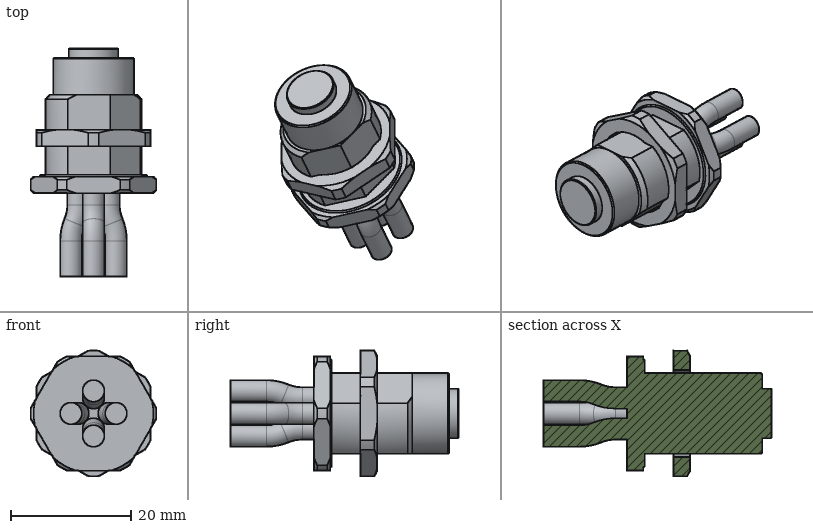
import cadquery as cq
import math


flange_thickness = 2.75
collar_thickness = 0.25
body_length = 13.38
barrel_length = 6.15
nose_length = 1.55
wire_lead = 1.95
wire_bend_length = 5.95
wire_tail = 6.0

hex_across_flats = 19.0
hex_corner_diameter = 20.98
flange_chamfer_radial = 0.55
flange_chamfer_axial = 0.55
collar_base_diameter = 18.1
collar_top_diameter = 17.65

nut_thickness = 2.77
nut_gap = 4.75
nut_chamfer_radial = 0.87
nut_chamfer_axial = 0.5

body_diameter = 16.0
body_chamfer_radial = 0.72
body_chamfer_axial = 0.8
barrel_diameter = 13.5
barrel_chamfer = 0.23
nose_diameter = 8.3
nose_chamfer = 0.15
body_flat_angles = (0, 45, 180, 225)
nut_bore_diameter = 14.45

wire_count = 4
wire_diameter = 3.6
wire_gap_at_flange = 0.02
wire_gap_at_end = 0.14

wire_inner_offset = (wire_diameter + wire_gap_at_flange) / (2 * math.sin(math.pi / wire_count))
wire_outer_offset = wire_diameter + wire_gap_at_end

collar_start = flange_thickness
body_start = collar_start + collar_thickness
barrel_start = body_start + body_length
nose_start = barrel_start + barrel_length
nut_start = body_start + nut_gap


def turned(radius, start, length, rear_chamfer=(0, 0), front_chamfer=(0, 0)):
    """Cylinder along +Y; each chamfer is a (radial, axial) pair, (0, 0) for a sharp edge."""
    end = start + length
    outline = [(0, start), (radius - rear_chamfer[0], start)]
    if rear_chamfer[1]:
        outline.append((radius, start + rear_chamfer[1]))
    if front_chamfer[1]:
        outline.append((radius, end - front_chamfer[1]))
    outline += [(radius - front_chamfer[0], end), (0, end)]
    return cq.Workplane("XY").polyline(outline).close().revolve(360, (0, 0, 0), (0, 1, 0))


def hexagon(start, length, turn):
    """Hexagonal prism along +Y; with no turn two corners lie on the X axis."""
    across_corners = hex_across_flats / math.cos(math.radians(30))
    prism = cq.Workplane("XZ").polygon(6, across_corners).extrude(-length)
    return prism.rotate((0, 0, 0), (0, 1, 0), turn).translate((0, start, 0))


def make_flange():
    chamfer = (flange_chamfer_radial, flange_chamfer_axial)
    envelope = turned(hex_corner_diameter / 2, 0, flange_thickness, chamfer, chamfer)
    collar = cq.Solid.makeCone(
        collar_base_diameter / 2,
        collar_top_diameter / 2,
        collar_thickness,
        pnt=cq.Vector(0, collar_start, 0),
        dir=cq.Vector(0, 1, 0),
    )
    return hexagon(0, flange_thickness, 0).intersect(envelope).union(cq.Workplane(collar))


def make_nut():
    """Nut with a round bore, which leaves a gap over each flat of the body."""
    envelope = turned(
        hex_corner_diameter / 2,
        nut_start,
        nut_thickness,
        front_chamfer=(nut_chamfer_radial, nut_chamfer_axial),
    )
    bore = turned(nut_bore_diameter / 2, nut_start, nut_thickness)
    return hexagon(nut_start, nut_thickness, 30).intersect(envelope).cut(bore)


def make_body():
    """Chamfered cylinder with flats that touch the barrel diameter."""
    body = turned(
        body_diameter / 2,
        body_start,
        body_length,
        front_chamfer=(body_chamfer_radial, body_chamfer_axial),
    )
    cutter = cq.Workplane("XY").box(
        body_diameter, body_length, body_diameter, centered=(True, False, False)
    )
    cutter = cutter.translate((0, body_start, barrel_diameter / 2))
    for angle in body_flat_angles:
        body = body.cut(cutter.rotate((0, 0, 0), (0, 1, 0), angle))
    return body


def make_barrel_and_nose():
    barrel = turned(
        barrel_diameter / 2,
        barrel_start,
        barrel_length,
        front_chamfer=(barrel_chamfer, barrel_chamfer),
    )
    nose = turned(
        nose_diameter / 2,
        nose_start,
        nose_length,
        front_chamfer=(nose_chamfer, nose_chamfer),
    )
    return barrel.union(nose)


def make_wire():
    """Wire leaving the flange towards -Y, stepped outwards by two tangent arcs."""
    step = wire_outer_offset - wire_inner_offset
    bend_angle = 2 * math.atan(step / wire_bend_length)
    bend_radius = wire_bend_length / (2 * math.sin(bend_angle))

    half_rise = bend_radius * (1 - math.cos(bend_angle / 2))
    half_run = bend_radius * math.sin(bend_angle / 2)
    bend_start = -wire_lead
    bend_end = bend_start - wire_bend_length
    bend_middle = ((wire_inner_offset + wire_outer_offset) / 2, bend_start - wire_bend_length / 2)

    path = (
        cq.Workplane("XY")
        .moveTo(wire_inner_offset, 0)
        .lineTo(wire_inner_offset, bend_start)
        .threePointArc((wire_inner_offset + half_rise, bend_start - half_run), bend_middle)
        .threePointArc(
            (wire_outer_offset - half_rise, bend_end + half_run),
            (wire_outer_offset, bend_end),
        )
        .lineTo(wire_outer_offset, bend_end - wire_tail)
    )
    section = cq.Workplane("XZ").center(wire_inner_offset, 0).circle(wire_diameter / 2)
    return section.sweep(path)


result = make_flange().union(make_body()).union(make_nut()).union(make_barrel_and_nose())
wire = make_wire()
for index in range(wire_count):
    result = result.union(wire.rotate((0, 0, 0), (0, 1, 0), index * 360 / wire_count))